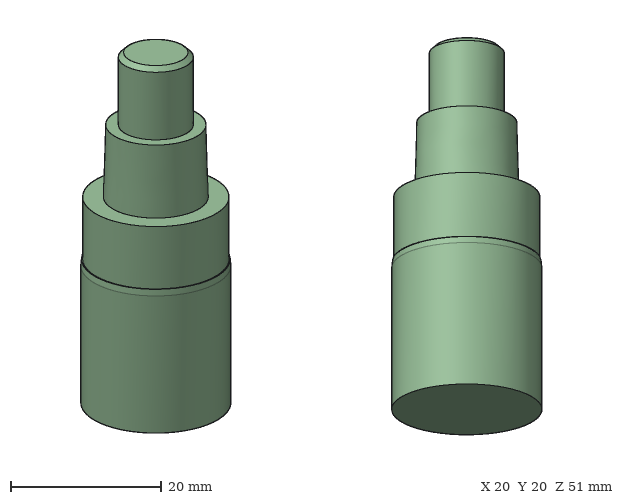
import cadquery as cq

total_height = 51.0
base_rim_start = 20.0
base_height = 20.9
collar_top = 30.0
taper_top = 40.5

base_radius = 10.0
base_rim_radius = 9.9
collar_radius = 9.75
taper_bottom_radius = 7.0
taper_top_radius = 6.7
tip_radius = 5.0

tip_chamfer_height = 0.65
tip_chamfer_width = 0.7


def revolve_profile(points):
    """Turn a closed half-profile of (radius, height) points about Z."""
    return cq.Workplane("XZ").polyline(points).close().revolve(360, (0, 0, 0), (0, 1, 0))


def make_base():
    """Cylindrical base with a slightly narrowed upper rim."""
    return revolve_profile([
        (0, 0),
        (base_radius, 0),
        (base_radius, base_rim_start),
        (base_rim_radius, base_height),
        (0, base_height),
    ])


def make_spindle():
    """Stepped spindle on the base: collar, tapered shank and chamfered tip."""
    return revolve_profile([
        (0, base_height),
        (collar_radius, base_height),
        (collar_radius, collar_top),
        (taper_bottom_radius, collar_top),
        (taper_top_radius, taper_top),
        (tip_radius, taper_top),
        (tip_radius, total_height - tip_chamfer_height),
        (tip_radius - tip_chamfer_width, total_height),
        (0, total_height),
    ])


base = make_base()
spindle = make_spindle()

result = cq.Compound.makeCompound([base.val(), spindle.val()])